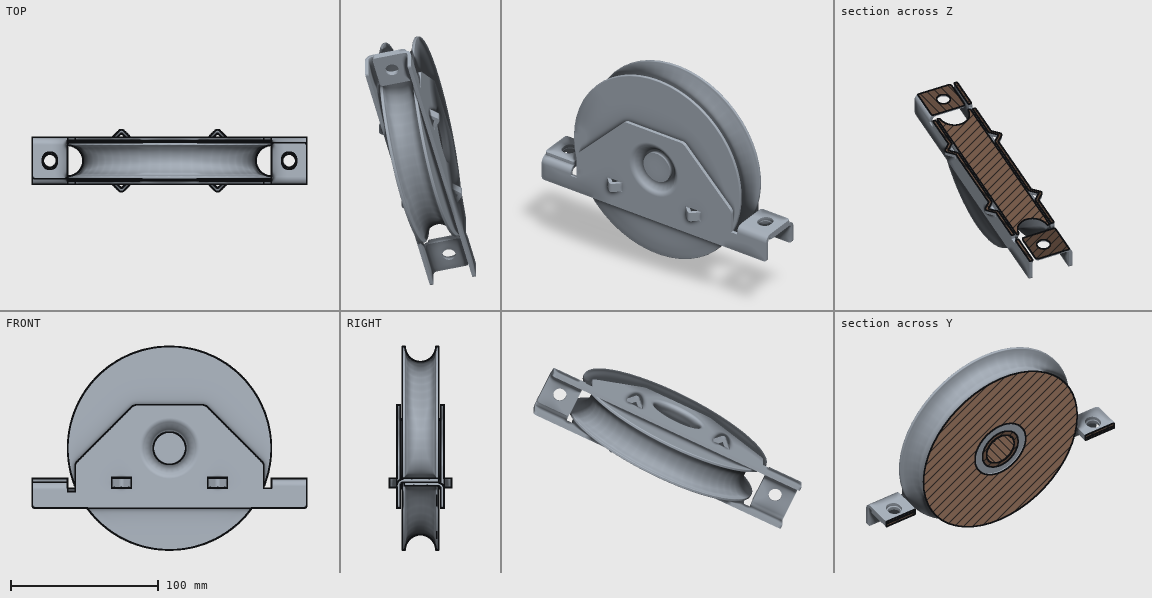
import cadquery as cq
import math


WHEEL_RADIUS = 69.0
WHEEL_HALF_WIDTH = 12.5
GROOVE_RADIUS = 10.5
RIM_ROUND = 0.5

SHEET = 2.5
OUTER_FACE = 16.0
HALF_LENGTH = 93.0
PLATE_BOTTOM = -40.5
PLATE_TOP = 29.4
PLATE_HALF_WIDTH = 64.0
PLATE_TOP_HALF_WIDTH = 24.2
PLATE_CORNER_ROUND = 5.0
CORNER_ROUND = 2.0

FLANGE_LENGTH = 24.0
HIGH_FLANGE_TOP = -20.5
HIGH_OVERHANG = 12.3
BEND_OUTER_RADIUS = 5.0
NOTCH_RELIEF = 1.5
SLOT_WIDTH = 10.0
SLOT_LENGTH = 11.7
HOLE_DIAMETER = 9.0

DIMPLE_RIM_RADIUS = 20.5
DIMPLE_BEND_RADIUS = 3.7
DIMPLE_FLOOR_RADIUS = 12.5
DIMPLE_FLOOR_BEND = 1.0
DIMPLE_ANGLE = math.radians(45)

LUG_X = 32.5
LUG_Z = -23.5
LUG_HEIGHT = 6.5
LUG_TIP = 21.0
LUG_TIP_RADIUS = 2.5
WINDOW_WIDTH = 13.0
WINDOW_HEIGHT = 7.6

PIN_RADIUS = 11.0
PIN_HALF_LENGTH = 12.6

INNER_FACE = OUTER_FACE - SHEET
BEND_INNER_RADIUS = BEND_OUTER_RADIUS - SHEET
DIMPLE_INNER_BEND = DIMPLE_BEND_RADIUS - SHEET
LOW_OVERHANG = OUTER_FACE - BEND_OUTER_RADIUS
LOW_FLANGE_TOP = HIGH_FLANGE_TOP - SHEET
HOLE_X = HALF_LENGTH - FLANGE_LENGTH / 2


def revolve_about_y(profile):
    """Revolve a closed (radius, y) profile about the Y axis."""
    return profile.close().revolve(360, (0, 0, 0), (0, 1, 0))


def rim_bend_point(bend_radius, angle):
    """(radius, y) on a rim bend centred behind the sheet, `angle` in from the flat sheet."""
    center_y = OUTER_FACE - DIMPLE_BEND_RADIUS
    return (
        DIMPLE_RIM_RADIUS - bend_radius * math.sin(angle),
        center_y + bend_radius * math.cos(angle),
    )


CONE_START_RADIUS, CONE_START_Y = rim_bend_point(DIMPLE_BEND_RADIUS, DIMPLE_ANGLE)
FLOOR_Y = CONE_START_Y - (CONE_START_RADIUS - DIMPLE_FLOOR_RADIUS) * math.tan(DIMPLE_ANGLE)
FLOOR_BACK_Y = FLOOR_Y - SHEET
BACK_CONE_RADIUS, BACK_CONE_Y = rim_bend_point(DIMPLE_INNER_BEND, DIMPLE_ANGLE)
BACK_FLOOR_RADIUS = BACK_CONE_RADIUS - (BACK_CONE_Y - FLOOR_BACK_Y) / math.tan(DIMPLE_ANGLE)


def floor_bend_point(angle):
    """(radius, y) on the concave bend, `angle` up from where it meets the floor."""
    center_radius = DIMPLE_FLOOR_RADIUS - DIMPLE_FLOOR_BEND * math.tan(DIMPLE_ANGLE / 2)
    return (
        center_radius + DIMPLE_FLOOR_BEND * math.sin(angle),
        FLOOR_Y + DIMPLE_FLOOR_BEND * (1 - math.cos(angle)),
    )


def make_wheel():
    """Rope wheel with a round groove, rounded rims and a recess for each dimple."""
    body = cq.Workplane("XZ").circle(WHEEL_RADIUS).extrude(WHEEL_HALF_WIDTH, both=True)
    groove = revolve_about_y(
        cq.Workplane("XY")
        .moveTo(WHEEL_RADIUS, -GROOVE_RADIUS)
        .threePointArc((WHEEL_RADIUS - GROOVE_RADIUS, 0), (WHEEL_RADIUS, GROOVE_RADIUS))
    )
    body = body.cut(groove)
    largest_circles = cq.selectors.RadiusNthSelector(-1)
    body = body.edges("%CIRCLE").edges(largest_circles).fillet(RIM_ROUND)

    bore = cq.Workplane("XZ").circle(PIN_RADIUS).extrude(WHEEL_HALF_WIDTH, both=True)
    body = body.cut(bore)
    for side in (1, -1):
        recess = (
            cq.Workplane("XZ", origin=(0, side * FLOOR_BACK_Y, 0))
            .circle(DIMPLE_RIM_RADIUS)
            .extrude(-side * (WHEEL_HALF_WIDTH - FLOOR_BACK_Y))
        )
        body = body.cut(recess)
    return body


def make_side_plate():
    """Flat plate at +Y: a low bar with a raised, sloping-shouldered middle."""
    shoulder_z = PLATE_TOP - (PLATE_HALF_WIDTH - PLATE_TOP_HALF_WIDTH)
    plate = (
        cq.Workplane("XZ", origin=(0, OUTER_FACE, 0))
        .moveTo(-PLATE_HALF_WIDTH, PLATE_BOTTOM)
        .lineTo(PLATE_HALF_WIDTH, PLATE_BOTTOM)
        .lineTo(PLATE_HALF_WIDTH, shoulder_z)
        .lineTo(PLATE_TOP_HALF_WIDTH, PLATE_TOP)
        .lineTo(-PLATE_TOP_HALF_WIDTH, PLATE_TOP)
        .lineTo(-PLATE_HALF_WIDTH, shoulder_z)
        .close()
        .extrude(SHEET)
    )
    return plate.edges("|Y").edges("not <Z").fillet(PLATE_CORNER_ROUND)


def make_end(side, flange_top, overhang):
    """End of the +Y bracket at X sign `side`: bar, bend and flange."""
    bend_center_y = OUTER_FACE - BEND_OUTER_RADIUS
    bend_center_z = flange_top - BEND_OUTER_RADIUS
    outer_middle = BEND_OUTER_RADIUS * math.sqrt(0.5)
    inner_middle = BEND_INNER_RADIUS * math.sqrt(0.5)
    inner_end = HALF_LENGTH - FLANGE_LENGTH

    corner = (
        cq.Workplane("YZ", origin=(side * inner_end, 0, 0))
        .moveTo(OUTER_FACE, PLATE_BOTTOM)
        .lineTo(OUTER_FACE, bend_center_z)
        .threePointArc(
            (bend_center_y + outer_middle, bend_center_z + outer_middle),
            (bend_center_y, flange_top),
        )
        .lineTo(-overhang, flange_top)
        .lineTo(-overhang, flange_top - SHEET)
        .lineTo(bend_center_y, flange_top - SHEET)
        .threePointArc(
            (bend_center_y + inner_middle, bend_center_z + inner_middle),
            (INNER_FACE, bend_center_z),
        )
        .lineTo(INNER_FACE, PLATE_BOTTOM)
        .close()
        .extrude(side * FLANGE_LENGTH)
    )
    corner = corner.edges("|Z").edges("<Y").fillet(CORNER_ROUND)
    outer_end = ">X" if side > 0 else "<X"
    corner = corner.edges("|Y").edges("<Z").edges(outer_end).fillet(CORNER_ROUND)

    bar_top = bend_center_z - NOTCH_RELIEF
    bar_length = inner_end - PLATE_HALF_WIDTH
    bar = cq.Workplane("XY").box(bar_length, SHEET, bar_top - PLATE_BOTTOM).translate(
        (
            side * (PLATE_HALF_WIDTH + bar_length / 2),
            OUTER_FACE - SHEET / 2,
            (bar_top + PLATE_BOTTOM) / 2,
        )
    )
    return corner.union(bar)


def make_slot(side):
    """Slot through the high flange, long across the bracket."""
    slot = cq.Workplane("XY", origin=(side * HOLE_X, 0, HIGH_FLANGE_TOP))
    return slot.slot2D(SLOT_LENGTH, SLOT_WIDTH, 90).extrude(-SHEET)


def make_round_hole(side):
    """Round hole through the low flange."""
    hole = cq.Workplane("XY", origin=(side * HOLE_X, 0, LOW_FLANGE_TOP))
    return hole.circle(HOLE_DIAMETER / 2).extrude(-SHEET)


def add_dimple(plate):
    """Press a conical dimple with a flat floor inwards around the pin."""
    blank = cq.Workplane("XZ", origin=(0, OUTER_FACE, 0)).circle(DIMPLE_RIM_RADIUS).extrude(SHEET)
    dimple = revolve_about_y(
        cq.Workplane("XY")
        .moveTo(DIMPLE_RIM_RADIUS, OUTER_FACE)
        .threePointArc(
            rim_bend_point(DIMPLE_BEND_RADIUS, DIMPLE_ANGLE / 2),
            (CONE_START_RADIUS, CONE_START_Y),
        )
        .lineTo(*floor_bend_point(DIMPLE_ANGLE))
        .threePointArc(floor_bend_point(DIMPLE_ANGLE / 2), floor_bend_point(0))
        .lineTo(PIN_RADIUS, FLOOR_Y)
        .lineTo(PIN_RADIUS, FLOOR_BACK_Y)
        .lineTo(BACK_FLOOR_RADIUS, FLOOR_BACK_Y)
        .lineTo(BACK_CONE_RADIUS, BACK_CONE_Y)
        .threePointArc(
            rim_bend_point(DIMPLE_INNER_BEND, DIMPLE_ANGLE / 2),
            (DIMPLE_RIM_RADIUS, INNER_FACE),
        )
    )
    return plate.cut(blank).union(dimple)


def add_lug(plate, x):
    """Cut a window and bridge it with a V-shaped lug bent outwards."""
    half_width = WINDOW_WIDTH / 2
    window = cq.Workplane("XY").box(WINDOW_WIDTH, SHEET, WINDOW_HEIGHT)
    window = window.translate((x, OUTER_FACE - SHEET / 2, LUG_Z))

    outer_apex = LUG_TIP + LUG_TIP_RADIUS * (math.sqrt(2) - 1)
    inner_apex = outer_apex - SHEET * math.sqrt(2)
    foot_y = outer_apex - half_width
    lug = (
        cq.Workplane("XY", origin=(x, 0, LUG_Z - LUG_HEIGHT / 2))
        .moveTo(-half_width, INNER_FACE)
        .lineTo(-half_width, foot_y)
        .lineTo(0, outer_apex)
        .lineTo(half_width, foot_y)
        .lineTo(half_width, INNER_FACE)
        .lineTo(inner_apex - INNER_FACE, INNER_FACE)
        .lineTo(0, inner_apex)
        .lineTo(INNER_FACE - inner_apex, INNER_FACE)
        .close()
        .extrude(LUG_HEIGHT)
    )
    lug = lug.edges("|Z and >Y").fillet(LUG_TIP_RADIUS)
    return plate.cut(window).union(lug)


def make_bracket(turn):
    """Pressed bracket on the +Y side, turned about Z by `turn` degrees."""
    bracket = make_side_plate()
    bracket = bracket.union(make_end(-1, HIGH_FLANGE_TOP, HIGH_OVERHANG)).cut(make_slot(-1))
    bracket = bracket.union(make_end(1, LOW_FLANGE_TOP, LOW_OVERHANG)).cut(make_round_hole(1))
    bracket = add_dimple(bracket)
    for x in (-LUG_X, LUG_X):
        bracket = add_lug(bracket, x)
    return bracket.rotate((0, 0, 0), (0, 0, 1), turn)


def make_pin():
    """Plain pin through the wheel and both dimples."""
    return cq.Workplane("XZ").circle(PIN_RADIUS).extrude(PIN_HALF_LENGTH, both=True)


wheel = make_wheel()
brackets = [make_bracket(turn) for turn in (0, 180)]
pin = make_pin()

result = cq.Compound.makeCompound([wheel.val(), *[bracket.val() for bracket in brackets], pin.val()])